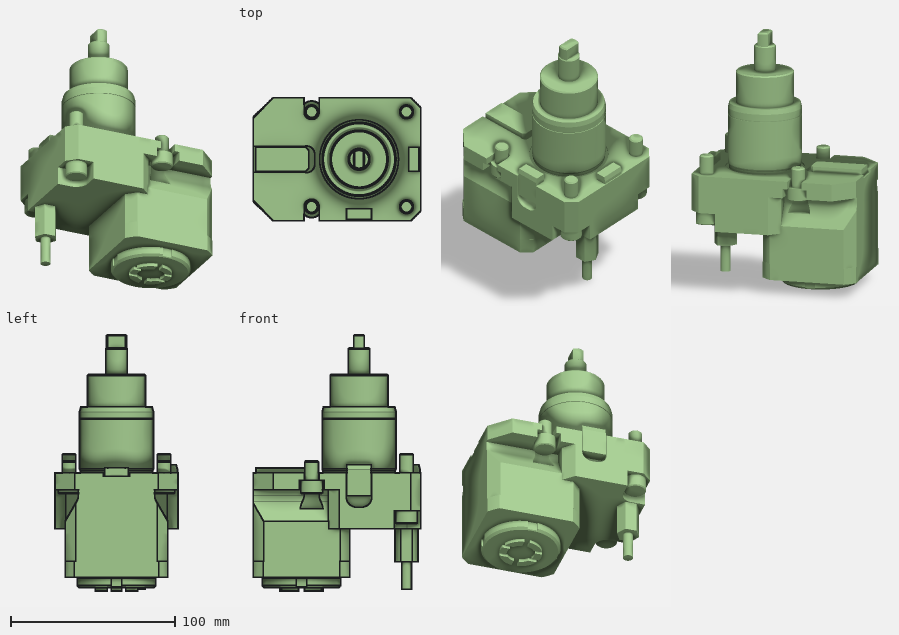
import cadquery as cq
import math


HOUSING_LEFT = -64.5
HOUSING_RIGHT = 37.6
HOUSING_HALF_WIDTH = 75.0 / 2
PLATE_LEFT_CHAMFER = 12.2
PLATE_RIGHT_CHAMFER = 6.1
PLATE_THICKNESS = 10.5

BLOCK_LEFT = -18.7
BLOCK_CHAMFER = 6.5
BLOCK_BOTTOM = -34.2

HEAD_RIGHT = -5.6
HEAD_AXIS_X = (HOUSING_LEFT + HEAD_RIGHT) / 2
HEAD_HALF_WIDTH = 31.2
HEAD_BOTTOM = -63.6
HEAD_LEFT_CHAMFER = 6.4
HEAD_RIGHT_CHAMFER = 5.8
ROUNDED_CORNER_TOP = -53.7
ROUNDED_CORNER_RADIUS = 39.0

SLOPE_BOTTOM = -29.5
SLOPE_TOP = -15.6
SLOPE_ANGLE = math.radians(30)
RELIEF_WALL = HEAD_HALF_WIDTH - (SLOPE_TOP - SLOPE_BOTTOM) * math.tan(SLOPE_ANGLE)
RELIEF_FILLET = 7.5

SCREW_PITCH_HALF = 28.9
SCREW_RADIUS = 4.2
SCREW_TIP_CHAMFER = 0.8
SCREW_HEAD_RADIUS = 13.3 / 2
SCREW_HEAD_HEIGHT = 8.0
HEAD_EDGE_CHAMFER = 0.6
LEFT_SCREW_TIP = 7.3
LEFT_SEAT = -4.7
RIGHT_SCREW_TIP = 11.7
RIGHT_SEAT = -23.1
SCREW_SLOT_RADIUS = 9.2 / 2
SEAT_RADIUS = 15.1 / 2
ACCESS_RADIUS = 14.5 / 2
ACCESS_BOTTOM = -22.0

RING_GROOVE_RADIUS = 24.0
RING_GROOVE_DEPTH = 0.8
NECK_RADIUS = 22.0
NECK_TOP = 1.2
COLLAR_BOTTOM = 2.5
COLLAR_RADIUS = 45.1 / 2
COLLAR_TOP = 40.1
SEAL_GROOVE_Z = 32.5
SEAL_GROOVE_WIDTH = 0.6
SEAL_GROOVE_DEPTH = 0.5
LEAD_IN_LENGTH = 3.0
LEAD_IN_DEPTH = LEAD_IN_LENGTH * math.tan(math.radians(15))
PILOT_RADIUS = 35.4 / 2
PILOT_TOP = 59.9
SHAFT_RADIUS = 13.3 / 2
SHAFT_TOP = 76.0
SPINDLE_CHAMFER = 0.8
TANG_RADIUS = 12.3 / 2
TANG_THICKNESS = 6.5
TANG_TOP = 84.1

KEY_HALF_WIDTH = 14.8 / 2
KEY_SLOT_HALF_WIDTH = 7.8
KEY_INNER = 30.1
KEY_OUTER = 37.1
KEY_TOP = 5.0
FRONT_KEY_BOTTOM = -14.0
FRONT_SLOT_BOTTOM = -20.9
FRONT_SLOT_CORNER = 6.2
LONG_KEY_LEFT = -62.7
LONG_KEY_RIGHT = -30.5
LONG_KEY_HALF_WIDTH = 7.2
LONG_KEY_TOP = 3.0
LONG_KEY_CHAMFER = 1.7
LONG_SLOT_RIGHT = -27.0
LONG_SLOT_DEPTH = 2.0
LONG_SLOT_END_HALF_WIDTH = 8.1
LONG_SLOT_END_LENGTH = 5.3
LONG_SLOT_CORNER = 5.0

NUT_RADIUS = 24.2
NUT_BOTTOM = -69.9
NUT_CHAMFER = 1.4
NUT_UNDERCUT_HEIGHT = 0.5
NUT_UNDERCUT_RADIUS = 22.8
NUT_NOTCH_WIDTH = 6.2
NUT_NOTCH_DEPTH = 1.0
CASTLE_OUTER_RADIUS = 13.1
CASTLE_INNER_RADIUS = 8.6
CASTLE_BOTTOM = -71.9
CASTLE_MIDDLE_SLOT_WIDTH = 3.5
CASTLE_SIDE_SLOT_WIDTH = 2.3
CASTLE_SIDE_SLOT_Y = 4.4

PIN_X = SCREW_PITCH_HALF
PIN_Y = -14.5
PIN_HEX_DIAMETER = 14.2
PIN_HEX_BOTTOM = -54.1
PIN_RADIUS = 6.1 / 2
PIN_BOTTOM = -71.0


def box(x_range, y_range, z_range):
    """Box between the given limits along each axis."""
    sizes = [high - low for low, high in (x_range, y_range, z_range)]
    corner = (x_range[0], y_range[0], z_range[0])
    return cq.Workplane("XY").box(*sizes, centered=False).translate(corner)


def cylinder(x, y, radius, bottom, top):
    """Upright cylinder between two heights."""
    return cq.Workplane("XY", origin=(x, y, bottom)).circle(radius).extrude(top - bottom)


def chamfered_prism(left, right, half_width, left_chamfer, right_chamfer, bottom, top):
    """Upright block whose two left and two right vertical edges have their own chamfers."""
    block = box((left, right), (-half_width, half_width), (bottom, top))
    block = block.faces("<X").edges("|Z").chamfer(left_chamfer)
    return block.faces(">X").edges("|Z").chamfer(right_chamfer)


def make_tool_head():
    """Tool head with sloped reliefs under the plate and rounded corners at the bottom."""
    head_top = -PLATE_THICKNESS
    half_profile = [
        (RELIEF_WALL, head_top), (RELIEF_WALL, SLOPE_TOP),
        (HEAD_HALF_WIDTH, SLOPE_BOTTOM), (HEAD_HALF_WIDTH, HEAD_BOTTOM),
    ]
    mirrored = [(-y, z) for y, z in reversed(half_profile)]
    head = (
        cq.Workplane("YZ", origin=(HOUSING_LEFT, 0, 0))
        .polyline(half_profile + mirrored).close()
        .extrude(HEAD_RIGHT - HOUSING_LEFT)
    )
    for side in (-1, 1):
        crease = cq.selectors.NearestToPointSelector((HEAD_AXIS_X, side * RELIEF_WALL, SLOPE_TOP))
        head = head.edges(crease).fillet(RELIEF_FILLET)

    upper = chamfered_prism(HOUSING_LEFT, HEAD_RIGHT, HEAD_HALF_WIDTH, HEAD_LEFT_CHAMFER,
                            HEAD_RIGHT_CHAMFER, ROUNDED_CORNER_TOP, head_top)
    lower = cylinder(HEAD_AXIS_X, 0, ROUNDED_CORNER_RADIUS, HEAD_BOTTOM, ROUNDED_CORNER_TOP)
    return head.intersect(upper.union(lower))


def make_housing():
    """Chamfered plate, deep block and tool head."""
    plate = chamfered_prism(HOUSING_LEFT, HOUSING_RIGHT, HOUSING_HALF_WIDTH, PLATE_LEFT_CHAMFER,
                            PLATE_RIGHT_CHAMFER, -PLATE_THICKNESS, 0)
    block = chamfered_prism(BLOCK_LEFT, HOUSING_RIGHT, HOUSING_HALF_WIDTH, BLOCK_CHAMFER,
                            PLATE_RIGHT_CHAMFER, BLOCK_BOTTOM, -PLATE_THICKNESS)
    return plate.union(block).union(make_tool_head())


def side_slot(x, side, radius, bottom, top):
    """Slot at x that is round about the screw and open to one side in Y."""
    y = side * SCREW_PITCH_HALF
    outside = side * HOUSING_HALF_WIDTH
    channel = box((x - radius, x + radius), sorted((y, outside)), (bottom, top))
    return cylinder(x, y, radius, bottom, top).union(channel)


def left_screw_cutter(side):
    """Shank slot, head seat and access bore for the left screw on one side in Y."""
    x = -SCREW_PITCH_HALF
    shank_slot = side_slot(x, side, SCREW_SLOT_RADIUS, LEFT_SEAT, 0)
    seat = side_slot(x, side, SEAT_RADIUS, -PLATE_THICKNESS, LEFT_SEAT)
    access = cylinder(x, side * SCREW_PITCH_HALF, ACCESS_RADIUS, ACCESS_BOTTOM, LEFT_SEAT)
    return shank_slot.union(seat).union(access)


def right_screw_cutter(side):
    """Head recess for the right screw, open to the right and to one side in Y."""
    x = SCREW_PITCH_HALF
    inner = side * (SCREW_PITCH_HALF - SEAT_RADIUS)
    outside = side * HOUSING_HALF_WIDTH
    recess = side_slot(x, side, SEAT_RADIUS, BLOCK_BOTTOM, RIGHT_SEAT)
    return recess.union(
        box((x, HOUSING_RIGHT), sorted((inner, outside)), (BLOCK_BOTTOM, RIGHT_SEAT)))


def make_screw(x, y, tip, seat):
    """Cap screw pointing up, its head hanging below the seat."""
    shank = cylinder(x, y, SCREW_RADIUS, seat, tip).faces(">Z").chamfer(SCREW_TIP_CHAMFER)
    head = cylinder(x, y, SCREW_HEAD_RADIUS, seat - SCREW_HEAD_HEIGHT, seat)
    return shank.union(head.faces("<Z").chamfer(HEAD_EDGE_CHAMFER))


def make_spindle():
    """Turned spindle with a flat driving tang at its tip."""
    seal_floor = COLLAR_RADIUS - SEAL_GROOVE_DEPTH
    seal_top = SEAL_GROOVE_Z + SEAL_GROOVE_WIDTH
    profile = [
        (0, -RING_GROOVE_DEPTH), (NECK_RADIUS, -RING_GROOVE_DEPTH), (NECK_RADIUS, NECK_TOP),
        (COLLAR_RADIUS, COLLAR_BOTTOM), (COLLAR_RADIUS, SEAL_GROOVE_Z),
        (seal_floor, SEAL_GROOVE_Z), (seal_floor, seal_top), (COLLAR_RADIUS, seal_top),
        (COLLAR_RADIUS, COLLAR_TOP - LEAD_IN_LENGTH), (COLLAR_RADIUS - LEAD_IN_DEPTH, COLLAR_TOP),
        (PILOT_RADIUS, COLLAR_TOP), (PILOT_RADIUS, PILOT_TOP - SPINDLE_CHAMFER),
        (PILOT_RADIUS - SPINDLE_CHAMFER, PILOT_TOP), (SHAFT_RADIUS, PILOT_TOP),
        (SHAFT_RADIUS, SHAFT_TOP - SPINDLE_CHAMFER), (SHAFT_RADIUS - SPINDLE_CHAMFER, SHAFT_TOP),
        (0, SHAFT_TOP),
    ]
    turned = cq.Workplane("XZ").polyline(profile).close().revolve(360, (0, 0), (0, 1))
    half_thickness = TANG_THICKNESS / 2
    tang = cylinder(0, 0, TANG_RADIUS, SHAFT_TOP - SPINDLE_CHAMFER, TANG_TOP).intersect(
        box((-half_thickness, half_thickness), (-TANG_RADIUS, TANG_RADIUS), (0, TANG_TOP)))
    return turned.union(tang.faces(">Z").chamfer(SPINDLE_CHAMFER))


def make_short_key(bottom):
    """Key on the front side, its outer top edge tapered as a lead-in."""
    profile = [
        (-KEY_INNER, bottom), (-KEY_INNER, KEY_TOP), (-KEY_OUTER + LEAD_IN_DEPTH, KEY_TOP),
        (-KEY_OUTER, KEY_TOP - LEAD_IN_LENGTH), (-KEY_OUTER, bottom),
    ]
    return (
        cq.Workplane("YZ", origin=(-KEY_HALF_WIDTH, 0, 0))
        .polyline(profile).close().extrude(2 * KEY_HALF_WIDTH)
    )


def front_key_slot():
    """Slot open to the front and top, with rounded lower corners."""
    return (
        box((-KEY_SLOT_HALF_WIDTH, KEY_SLOT_HALF_WIDTH), (-HOUSING_HALF_WIDTH, -KEY_INNER),
            (FRONT_SLOT_BOTTOM, 0))
        .faces("<Z").edges("|Y").fillet(FRONT_SLOT_CORNER)
    )


def make_long_key():
    """Flat key along X on the left part of the plate."""
    key = box((LONG_KEY_LEFT, LONG_KEY_RIGHT), (-LONG_KEY_HALF_WIDTH, LONG_KEY_HALF_WIDTH),
              (-LONG_SLOT_DEPTH, LONG_KEY_TOP))
    return key.faces(">X").edges("|Z").chamfer(LONG_KEY_CHAMFER)


def long_key_slot():
    """Shallow slot open to the left, with a slightly wider rounded end."""
    depth_range = (-LONG_SLOT_DEPTH, 0)
    channel = box((HOUSING_LEFT, LONG_KEY_RIGHT),
                  (-KEY_SLOT_HALF_WIDTH, KEY_SLOT_HALF_WIDTH), depth_range)
    end = box((LONG_SLOT_RIGHT - LONG_SLOT_END_LENGTH, LONG_SLOT_RIGHT),
              (-LONG_SLOT_END_HALF_WIDTH, LONG_SLOT_END_HALF_WIDTH), depth_range)
    end = end.faces(">X").edges("|Z").fillet(LONG_SLOT_CORNER)
    return channel.union(end)


def make_nut():
    """Round nut with four rim notches and a castellated ring on its lower face."""
    nut = cylinder(0, 0, NUT_RADIUS, NUT_BOTTOM, HEAD_BOTTOM - NUT_UNDERCUT_HEIGHT)
    nut = nut.faces("<Z").chamfer(NUT_CHAMFER)
    notch_floor = NUT_RADIUS - NUT_NOTCH_DEPTH
    notch = box((notch_floor, NUT_RADIUS), (-NUT_NOTCH_WIDTH / 2, NUT_NOTCH_WIDTH / 2),
                (NUT_BOTTOM, HEAD_BOTTOM))
    for quarter in range(4):
        nut = nut.cut(notch.rotate((0, 0, 0), (0, 0, 1), quarter * 90))
    nut = nut.union(cylinder(0, 0, NUT_UNDERCUT_RADIUS, NUT_BOTTOM, HEAD_BOTTOM))

    castle = cylinder(0, 0, CASTLE_OUTER_RADIUS, CASTLE_BOTTOM, NUT_BOTTOM)
    castle = castle.cut(cylinder(0, 0, CASTLE_INNER_RADIUS, CASTLE_BOTTOM, NUT_BOTTOM))
    across = (-CASTLE_OUTER_RADIUS, CASTLE_OUTER_RADIUS)
    height = (CASTLE_BOTTOM, NUT_BOTTOM)
    half_width = CASTLE_MIDDLE_SLOT_WIDTH / 2
    castle = castle.cut(box((-half_width, half_width), across, height))
    half_width = CASTLE_SIDE_SLOT_WIDTH / 2
    for y in (-CASTLE_SIDE_SLOT_Y, CASTLE_SIDE_SLOT_Y):
        castle = castle.cut(box(across, (y - half_width, y + half_width), height))
    return nut.union(castle).translate((HEAD_AXIS_X, 0, 0))


def make_pin():
    """Hexagonal body under the block with a slim pin below it."""
    body = (
        cq.Workplane("XY", origin=(PIN_X, PIN_Y, PIN_HEX_BOTTOM))
        .polygon(6, PIN_HEX_DIAMETER).extrude(BLOCK_BOTTOM - PIN_HEX_BOTTOM)
    )
    return body.union(cylinder(PIN_X, PIN_Y, PIN_RADIUS, PIN_BOTTOM, PIN_HEX_BOTTOM))


result = make_housing()
result = result.cut(cylinder(0, 0, RING_GROOVE_RADIUS, -RING_GROOVE_DEPTH, 0))
result = result.cut(front_key_slot()).cut(long_key_slot())
for y_side in (-1, 1):
    result = result.cut(left_screw_cutter(y_side)).cut(right_screw_cutter(y_side))
    screw_y = y_side * SCREW_PITCH_HALF
    result = result.union(make_screw(-SCREW_PITCH_HALF, screw_y, LEFT_SCREW_TIP, LEFT_SEAT))
    result = result.union(make_screw(SCREW_PITCH_HALF, screw_y, RIGHT_SCREW_TIP, RIGHT_SEAT))
result = result.union(make_spindle())
result = result.union(make_short_key(FRONT_KEY_BOTTOM))
result = result.union(make_short_key(0).rotate((0, 0, 0), (0, 0, 1), 90))
result = result.union(make_long_key())
result = result.union(make_nut())
result = result.union(make_pin())